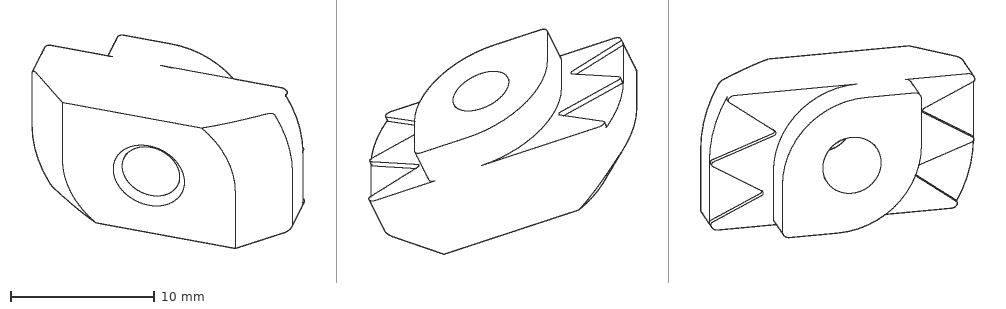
import math

import cadquery as cq


length = 19.01
height = 10.0
flange_depth = 6.1
end_chamfer = 3.2
corner_radius = 0.5

tooth_depth = 0.4
tooth_radius = 0.2
first_tip_angle = math.radians(8)
last_tip_angle = math.radians(34)
upper_valley = (-5.93, 2.53)
middle_tip = (-9.24, 0.03)
lower_valley = (-5.02, -1.89)

boss_width = 10.0
boss_depth = 2.6
boss_arc_radius = 6.0

hole_diameter = 4.2
countersink_diameter = 5.2
countersink_angle = 90.0

joint_tolerance = 1e-6
half_turn = math.pi
quarter_turn = math.pi / 2

half_length = length / 2
half_height = height / 2
half_boss = boss_width / 2

square_centre = (-half_length + corner_radius, half_height - corner_radius)
arc_end_z = -half_height + corner_radius
arc_end_centre = (-math.sqrt((half_length - corner_radius) ** 2 - arc_end_z**2), arc_end_z)
arc_end_angle = math.atan2(-arc_end_centre[1], -arc_end_centre[0])


def polar(centre, radius, angle):
    """Point at a distance from a centre; the angle turns from -X towards -Z."""
    return (centre[0] - radius * math.cos(angle), centre[1] - radius * math.sin(angle))


def opposite(points):
    """Points turned half a turn about the nut axis."""
    return [(-x, -z) for x, z in points]


def arc(centre, radius, start, end):
    """Start, middle and end points of an arc."""
    return [polar(centre, radius, angle) for angle in (start, (start + end) / 2, end)]


def prism(left_arcs, depth, back=0):
    """Extrude towards -Y, from Y = back, a closed outline with half-turn symmetry.

    left_arcs are the arcs of the left end from top to bottom; straight lines join them.
    """
    arcs = left_arcs + [opposite(points) for points in left_arcs]
    outline = cq.Workplane("XZ", origin=(0, back, 0)).moveTo(*arcs[0][0])
    position = arcs[0][0]
    for start, middle, end in arcs:
        if math.dist(position, start) > joint_tolerance:
            outline = outline.lineTo(*start)
        outline = outline.threePointArc(middle, end)
        position = end
    return outline.close().extrude(depth)


def slope_angle(upper, lower, tip_is_upper):
    """Facing direction of the flat that joins a tip round to a valley round."""
    run = lower[0] - upper[0]
    drop = upper[1] - lower[1]
    lean = math.atan2(run, drop)
    turn = math.asin(2 * tooth_radius / math.hypot(run, drop))
    return lean - turn if tip_is_upper else lean + turn


def flange_body():
    """Flange in front of the teeth: flat and conical chamfers alternate around the ends."""
    outline = prism(
        [
            arc(square_centre, corner_radius, -quarter_turn, 0),
            arc((0, 0), half_length, 0, arc_end_angle),
            arc(arc_end_centre, corner_radius, arc_end_angle, quarter_turn),
        ],
        flange_depth - tooth_depth,
        back=-tooth_depth,
    )
    half_section = [
        (0, 0),
        (half_length, 0),
        (half_length, -flange_depth + end_chamfer),
        (half_length - end_chamfer, -flange_depth),
        (0, -flange_depth),
    ]
    envelope = cq.Workplane("XY").polyline(half_section).close().revolve(360, (0, 0), (0, 1))
    right_block = cq.Workplane("XY").polyline(half_section).close().extrude(-half_height)
    left_block = right_block.rotate((0, 0, 0), (0, 1, 0), 180)
    return outline.intersect(envelope.union(right_block).union(left_block))


def toothed_layer():
    """Thin layer with the flange outline, its ends notched into three rounded teeth."""
    first_tip = polar(square_centre, corner_radius - tooth_radius, -first_tip_angle)
    last_tip = polar(arc_end_centre, corner_radius - tooth_radius, last_tip_angle)

    rounds = [first_tip, upper_valley, middle_tip, lower_valley, last_tip]
    slopes = [
        slope_angle(rounds[i], rounds[i + 1], tip_is_upper=i % 2 == 0)
        for i in range(len(rounds) - 1)
    ]
    facing = [-first_tip_angle] + slopes + [last_tip_angle]

    left_arcs = [arc(square_centre, corner_radius, -quarter_turn, -first_tip_angle)]
    for i, centre in enumerate(rounds):
        side = half_turn if i % 2 else 0
        left_arcs.append(arc(centre, tooth_radius, facing[i] + side, facing[i + 1] + side))
    left_arcs.append(arc(arc_end_centre, corner_radius, last_tip_angle, quarter_turn))
    return prism(left_arcs, tooth_depth)


def boss():
    """Square boss behind the flange, with two small rounds and two large arcs at opposite corners."""
    small_centre = (-half_boss + corner_radius, half_boss - corner_radius)
    large_centre = (-half_boss + boss_arc_radius, -half_boss + boss_arc_radius)
    return prism(
        [
            arc(small_centre, corner_radius, -quarter_turn, 0),
            arc(large_centre, boss_arc_radius, 0, quarter_turn),
        ],
        -boss_depth,
    )


def countersunk_hole():
    """Through hole along Y, countersunk at the front face."""
    hole_radius = hole_diameter / 2
    sink_radius = countersink_diameter / 2
    sink_depth = (sink_radius - hole_radius) / math.tan(math.radians(countersink_angle / 2))
    half_section = [
        (0, -flange_depth),
        (sink_radius, -flange_depth),
        (hole_radius, -flange_depth + sink_depth),
        (hole_radius, boss_depth),
        (0, boss_depth),
    ]
    return cq.Workplane("XY").polyline(half_section).close().revolve(360, (0, 0), (0, 1))


result = flange_body().union(toothed_layer()).union(boss()).cut(countersunk_hole())